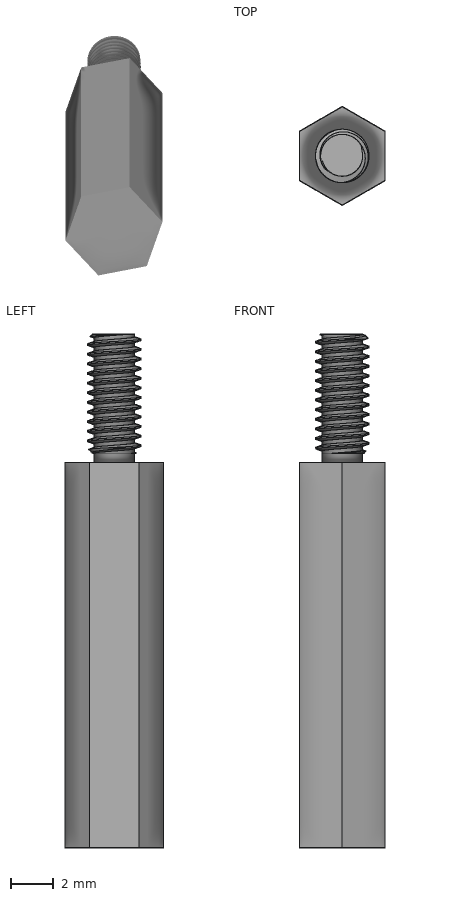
import cadquery as cq
import math

hex_sides = 6
hex_across_flats = 4.0
hex_length = 18.0

stud_length = 6.0
neck_diameter = 1.9
neck_length = 0.43

thread_diameter = 2.5
root_diameter = 1.9
end_diameter = 2.02
thread_pitch = 0.45
flank_half_angle = math.radians(19)
groove_floor_width = 0.18
first_crest_depth = 0.154
cutter_overrun = 0.05
cutter_start_angle = 100
bar_allowance = 1.4

thread_radius = thread_diameter / 2
root_radius = root_diameter / 2
end_radius = end_diameter / 2
stud_top = hex_length + stud_length
thread_bottom = hex_length + neck_length
thread_length = stud_top - thread_bottom
end_chamfer = thread_radius - end_radius


def make_hex_body():
    """Hexagonal prism with two flats facing -X and +X."""
    half_side_angle = 180 / hex_sides
    across_corners = hex_across_flats / math.cos(math.radians(half_side_angle))
    prism = cq.Workplane("XY").polygon(hex_sides, across_corners).extrude(hex_length)
    return prism.rotate((0, 0, 0), (0, 0, 1), half_side_angle)


def make_neck():
    """Plain relief between the body and the thread."""
    return (
        cq.Workplane("XY", origin=(0, 0, hex_length))
        .circle(neck_diameter / 2)
        .extrude(neck_length)
    )


def make_thread_envelope():
    """Thread outline: crest-diameter cylinder with a 45 degree chamfer at each end."""
    return (
        cq.Workplane("XY", origin=(0, 0, thread_bottom))
        .circle(thread_radius)
        .extrude(thread_length)
        .faces("<Z or >Z")
        .chamfer(end_chamfer)
    )


def make_thread_bar():
    """Plain bar at the crest diameter, longer than the thread at both ends."""
    return (
        cq.Workplane("XY", origin=(0, 0, thread_bottom - bar_allowance))
        .circle(thread_radius)
        .extrude(thread_length + 2 * bar_allowance)
    )


def make_groove_cutter():
    """Helical trapezoid that runs out past both ends of the thread."""
    turns = math.ceil(thread_length / thread_pitch) + 3
    helix_length = turns * thread_pitch
    helix_top = stud_top - first_crest_depth + 1.5 * thread_pitch

    outer_radius = thread_radius + cutter_overrun
    half_floor = groove_floor_width / 2
    half_mouth = half_floor + (outer_radius - root_radius) * math.tan(flank_half_angle)

    path = cq.Wire.makeHelix(thread_pitch, helix_length, root_radius)
    cutter = (
        cq.Workplane("XZ")
        .moveTo(root_radius, -half_floor)
        .lineTo(outer_radius, -half_mouth)
        .lineTo(outer_radius, half_mouth)
        .lineTo(root_radius, half_floor)
        .close()
        .sweep(cq.Workplane(path), isFrenet=True)
    )
    phase_lift = thread_pitch * cutter_start_angle / 360
    return cutter.rotate((0, 0, 0), (0, 0, 1), cutter_start_angle).translate(
        (0, 0, helix_top - helix_length + phase_lift)
    )


thread = make_thread_bar().cut(make_groove_cutter()).intersect(make_thread_envelope())
result = make_hex_body().union(make_neck()).union(thread)